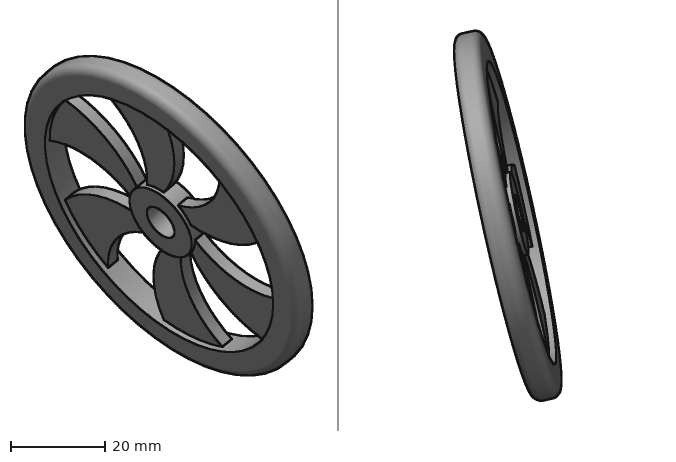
import cadquery as cq
import math

outer_diameter = 80.0
rim_inner_diameter = 66.0
hub_diameter = 18.0
bore_diameter = 8.0
width = 6.0
rim_edge_radius = 2.0
hub_recess = 0.5
hub_width = width - 2 * hub_recess

blade_count = 6
first_blade_angle = 90.0
blade_thickness = width / 2
blade_angle = 180 / blade_count
leading_bow = 3.0
trailing_shift = 0.5
trailing_bow = 3.7
blade_overlap = 0.4


def ring(outside, inside, length):
    """Flat ring about the Y axis, centred on the origin."""
    profile = cq.Workplane("XZ", origin=(0, length / 2, 0)).circle(outside / 2).circle(inside / 2)
    return profile.extrude(length)


def polar(radius, angle, sideways=0.0):
    """Point at a radius and angle, shifted clockwise across that radius."""
    a = math.radians(angle)
    x = radius * math.cos(a) + sideways * math.sin(a)
    z = radius * math.sin(a) - sideways * math.cos(a)
    return (x, z)


def blade(start_angle):
    """Blade between two bowed edges, the second turned by the blade angle."""
    end_angle = start_angle + blade_angle
    hub_radius = hub_diameter / 2
    rim_radius = rim_inner_diameter / 2
    middle = (hub_radius + rim_radius) / 2
    root = hub_radius - blade_overlap
    tip = rim_radius + blade_overlap
    return (
        cq.Workplane("XZ", origin=(0, blade_thickness / 2, 0))
        .moveTo(*polar(root, start_angle))
        .lineTo(*polar(hub_radius, start_angle))
        .threePointArc(polar(middle, start_angle, leading_bow), polar(rim_radius, start_angle))
        .lineTo(*polar(tip, start_angle))
        .threePointArc(polar(tip, start_angle + blade_angle / 2), polar(tip, end_angle, -trailing_shift))
        .lineTo(*polar(rim_radius, end_angle, -trailing_shift))
        .threePointArc(
            polar(middle, end_angle, trailing_bow - trailing_shift),
            polar(hub_radius, end_angle, -trailing_shift),
        )
        .lineTo(*polar(root, end_angle, -trailing_shift))
        .close()
        .extrude(blade_thickness)
    )


rim = ring(outer_diameter, rim_inner_diameter, width)
outermost_circles = cq.selectors.RadiusNthSelector(-1)
rim = rim.edges("%CIRCLE").edges(outermost_circles).fillet(rim_edge_radius)

result = rim.union(ring(hub_diameter, bore_diameter, hub_width))
for index in range(blade_count):
    first_edge = first_blade_angle + index * 360 / blade_count
    result = result.union(blade(first_edge))